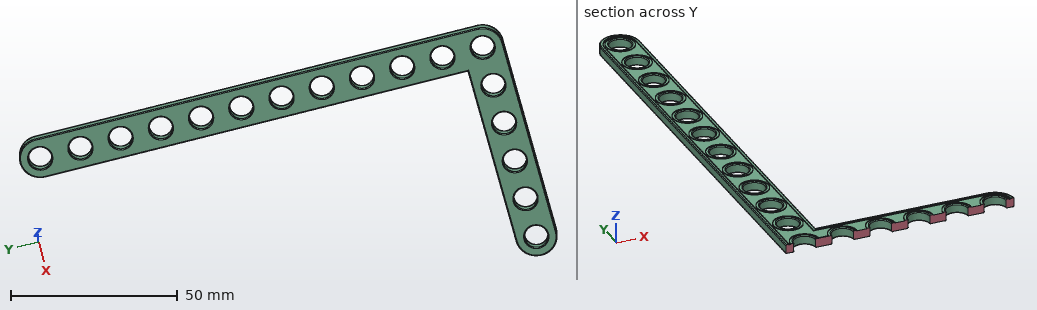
import cadquery as cq

pitch = 12.5
holes_x = 6
holes_y = 12
thickness = pitch / 4
hole_diameter = 7.0
ring_diameter = 9.2
rim_width = 1.1
recess_depth = 0.2
edge_chamfer = 0.3
rib_width = 0.4

end_x = (holes_x - 1) * pitch
end_y = (holes_y - 1) * pitch
recess_floor = thickness - recess_depth

hole_centres = [(i * pitch, 0) for i in range(holes_x)]
hole_centres += [(0, i * pitch) for i in range(1, holes_y)]


def make_arm(arm_span, width, height):
    """Round-ended bar along +X, with its first end centred on the origin."""
    return (
        cq.Workplane("XY")
        .center(arm_span / 2, 0)
        .slot2D(arm_span + width, width)
        .extrude(height)
    )


def make_angle(width, height):
    """L-shaped plate of two round-ended arms, with the corner hole centre at the origin."""
    x_arm = make_arm(end_x, width, height)
    y_arm = make_arm(end_y, width, height).rotate((0, 0, 0), (0, 0, 1), 90)
    return x_arm.union(y_arm).clean()


def make_recess():
    """Pocket inside the rim that leaves the rings and the joining rib standing."""
    recess = make_angle(pitch - 2 * rim_width, recess_depth)
    rings = cq.Workplane("XY").pushPoints(hole_centres).circle(ring_diameter / 2).extrude(recess_depth)
    rib = (
        cq.Workplane("XY")
        .center(pitch / 2, 0)
        .rect(pitch, rib_width)
        .extrude(recess_depth)
    )
    return recess.cut(rings).cut(rib)


def make_hole_cutter():
    """Revolved tool for a through hole chamfered at both mouths."""
    bore = hole_diameter / 2
    mouth = bore + edge_chamfer
    return (
        cq.Workplane("XZ")
        .moveTo(0, 0)
        .lineTo(mouth, 0)
        .lineTo(bore, edge_chamfer)
        .lineTo(bore, thickness - edge_chamfer)
        .lineTo(mouth, thickness)
        .lineTo(0, thickness)
        .close()
        .revolve(360, (0, 0, 0), (0, 1, 0))
    )


plate = make_angle(pitch, thickness)
plate = plate.faces("<Z or >Z").edges().chamfer(edge_chamfer)

plate = plate.cut(make_recess().translate((0, 0, recess_floor)))

hole_cutter = make_hole_cutter()
for x, y in hole_centres:
    plate = plate.cut(hole_cutter.translate((x, y, 0)))

result = plate